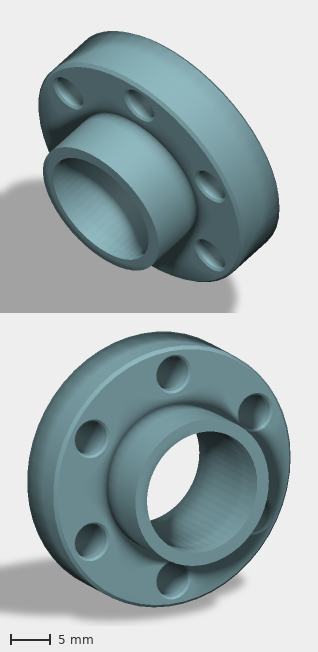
import cadquery as cq

flange_diameter = 34.0
flange_thickness = 7.58
flange_chamfer = 0.4

total_length = 15.0
hub_diameter = 19.1
bore_diameter = 15.78

hole_count = 6
hole_diameter = 4.5
hole_mouth_diameter = 5.03
hole_chamfer = (hole_mouth_diameter - hole_diameter) / 2
bolt_circle_radius = 13.5


def cylinder(diameter, length):
    """Cylinder along -Y, starting at the back face of the flange (Y = 0)."""
    return cq.Workplane("XZ").circle(diameter / 2).extrude(length)


def make_flange():
    """Disc with both rims chamfered and a ring of holes chamfered on the hub side."""
    disc = cylinder(flange_diameter, flange_thickness).edges().chamfer(flange_chamfer)
    holes = (
        cq.Workplane("XZ")
        .polarArray(bolt_circle_radius, 90, 360, hole_count)
        .circle(hole_diameter / 2)
        .extrude(flange_thickness)
    )
    drilled = disc.cut(holes)
    hole_rims = drilled.faces("<Y").edges(cq.selectors.RadiusNthSelector(0))
    return hole_rims.chamfer(hole_chamfer)


hub = cylinder(hub_diameter, total_length)
bore = cylinder(bore_diameter, total_length)
result = make_flange().union(hub).cut(bore)